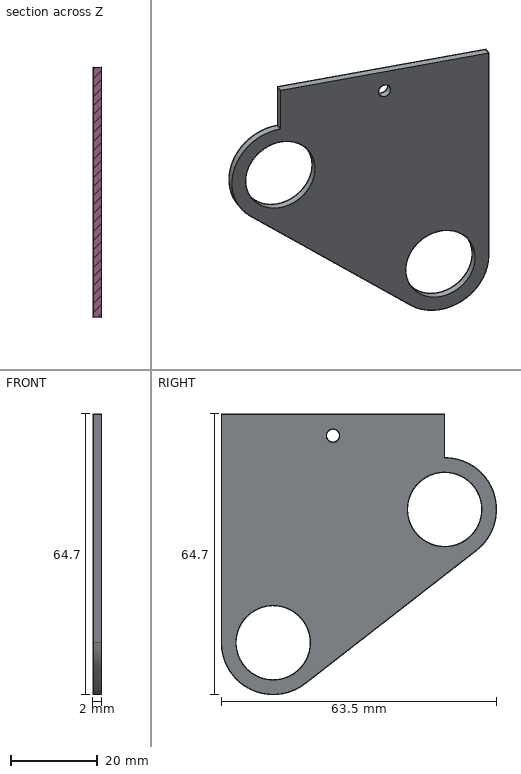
import cadquery as cq
import math

thickness = 2.0
length_y = 63.45
height_z = 64.7
corner_radius = 11.95
bore_diameter = 17.1
step_height = 10.0
pin_hole_diameter = 3.0
pin_hole_drop = 5.0

upper_y = length_y - 2 * corner_radius
upper_z = height_z - step_height - 2 * corner_radius
top_z = height_z - corner_radius
step_z = upper_z + corner_radius
bore_centers = [(0, 0), (upper_y, upper_z)]

slope_angle = math.atan2(upper_z, upper_y)
normal_y = math.sin(slope_angle)
normal_z = -math.cos(slope_angle)


def on_corner(center, direction_y, direction_z):
    """Point on a rounded corner, in a unit direction from its center."""
    return (
        center[0] + corner_radius * direction_y,
        center[1] + corner_radius * direction_z,
    )


def make_plate():
    """Outline whose sloping edge is tangent to both rounded corners."""
    lower, upper = bore_centers
    lower_mid_angle = (slope_angle - math.pi / 2 - math.pi) / 2
    lower_mid = on_corner(lower, math.cos(lower_mid_angle), math.sin(lower_mid_angle))
    return (
        cq.Workplane("YZ")
        .moveTo(-corner_radius, top_z)
        .lineTo(-corner_radius, 0)
        .threePointArc(lower_mid, on_corner(lower, normal_y, normal_z))
        .lineTo(*on_corner(upper, normal_y, normal_z))
        .threePointArc(on_corner(upper, 1, 0), (upper_y, step_z))
        .lineTo(upper_y, top_z)
        .close()
        .extrude(thickness)
    )


def make_hole(center, diameter):
    """Cylinder through the full plate thickness."""
    return cq.Workplane("YZ").center(*center).circle(diameter / 2).extrude(thickness)


result = make_plate()
for bore_center in bore_centers:
    result = result.cut(make_hole(bore_center, bore_diameter))

pin_hole_center = ((upper_y - corner_radius) / 2, top_z - pin_hole_drop)
result = result.cut(make_hole(pin_hole_center, pin_hole_diameter))